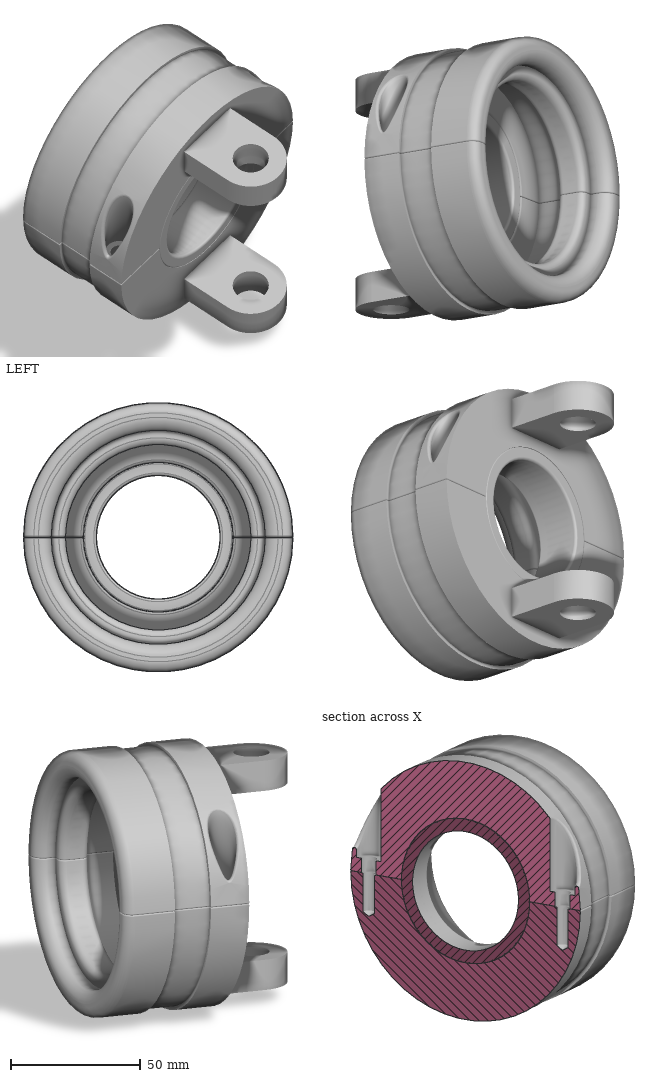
import cadquery as cq
import math

outer_radius = 52.2
housing_length = 51.5
rim_round = 4.0
mouth_radius = 41.5
mouth_round = 5.0
lip_front_x = 8.2
lip_rear_x = 20.0
lip_radius = 36.0
lip_round = 2.6
cavity_radius = 42.0
cavity_floor_x = 32.5

band_start_x = 20.5
band_end_x = 35.5
band_radius = 50.8

parting_round = 0.5

bushing_diameter = 58.0
bushing_radius = bushing_diameter / 2
bushing_bore_radius = 23.9
bushing_length = housing_length - cavity_floor_x
bushing_outer_round = 0.5
bushing_bore_round = 1.0
seat_round = 1.0

overall_length = 87.5
lug_radius = 14.0
lug_hole_diameter = 14.0
lug_thickness = 12.1
lug_outer_z = 46.0
lug_eye_x = overall_length - lug_radius

screw_x = (band_end_x + housing_length) / 2
screw_offset = 44.0
screw_centers = [(screw_x, -screw_offset), (screw_x, screw_offset)]
counterbore_diameter = 11.0
counterbore_floor_z = 6.0
counterbore_mouth_round = 1.0
clearance_diameter = 6.5
tapped_diameter = 4.9
tapped_depth = 15.7
drill_point_angle = 118.0


def housing_profile():
    """Half section of the housing: X along the axis, Y as the radius."""
    return (
        cq.Workplane("XY")
        .moveTo(0, outer_radius - rim_round)
        .radiusArc((rim_round, outer_radius), rim_round)
        .lineTo(band_start_x, outer_radius)
        .lineTo(band_start_x, band_radius)
        .lineTo(band_end_x, band_radius)
        .lineTo(band_end_x, outer_radius)
        .lineTo(housing_length, outer_radius)
        .lineTo(housing_length, bushing_radius)
        .lineTo(cavity_floor_x + seat_round, bushing_radius)
        .radiusArc((cavity_floor_x, bushing_radius + seat_round), seat_round)
        .lineTo(cavity_floor_x, cavity_radius)
        .lineTo(lip_rear_x, cavity_radius)
        .lineTo(lip_rear_x, lip_radius + lip_round)
        .radiusArc((lip_rear_x - lip_round, lip_radius), lip_round)
        .lineTo(lip_front_x + lip_round, lip_radius)
        .radiusArc((lip_front_x, lip_radius + lip_round), lip_round)
        .lineTo(lip_front_x, mouth_radius)
        .lineTo(mouth_round, mouth_radius)
        .radiusArc((0, mouth_radius + mouth_round), mouth_round)
        .close()
    )


def make_half_shell():
    """Upper half of the turned housing, with rounded parting edges."""
    shell = housing_profile().revolve(180, (0, 0, 0), (1, 0, 0))
    return shell.faces("<Z").edges().fillet(parting_round)


def make_lug():
    """Upper lug: a plate with a round end and an eye."""
    return (
        cq.Workplane("XY", origin=(0, 0, lug_outer_z - lug_thickness))
        .moveTo(housing_length, -lug_radius)
        .lineTo(lug_eye_x, -lug_radius)
        .threePointArc((overall_length, 0), (lug_eye_x, lug_radius))
        .lineTo(housing_length, lug_radius)
        .close()
        .moveTo(lug_eye_x, 0)
        .circle(lug_hole_diameter / 2)
        .extrude(lug_thickness)
    )


def make_screw_cylinders(diameter, bottom_z, top_z):
    """Vertical cylinders on both screw axes."""
    return (
        cq.Workplane("XY", origin=(0, 0, bottom_z))
        .pushPoints(screw_centers)
        .circle(diameter / 2)
        .extrude(top_z - bottom_z)
    )


def cut_counterbores(half):
    """Counterbores from the outside, rounded where they break through the curved wall."""
    half = half.cut(make_screw_cylinders(counterbore_diameter, counterbore_floor_z, outer_radius))
    screw_ring = cq.selectors.BoxSelector(
        (band_end_x, -outer_radius, counterbore_floor_z),
        (housing_length, outer_radius, outer_radius),
        boundingbox=True,
    )
    mouth_edges = half.edges(screw_ring).edges("%BSPLINE")
    return mouth_edges.fillet(counterbore_mouth_round)


def make_upper_half():
    half = cut_counterbores(make_half_shell())
    half = half.cut(make_screw_cylinders(clearance_diameter, 0, counterbore_floor_z))
    return half.union(make_lug())


def cut_tapped_holes(half):
    """Blind holes down from the parting plane, each ending in a drill point."""
    half = half.cut(make_screw_cylinders(tapped_diameter, -tapped_depth, 0))
    hole_radius = tapped_diameter / 2
    point_depth = hole_radius / math.tan(math.radians(drill_point_angle / 2))
    for x, y in screw_centers:
        point = cq.Solid.makeCone(hole_radius, 0, point_depth, (x, y, -tapped_depth), (0, 0, -1))
        half = half.cut(cq.Workplane(point))
    return half


def make_lower_half():
    half = make_half_shell().union(make_lug()).mirror("XY")
    return cut_tapped_holes(half)


def make_bushing():
    """Plain ring with rounded edges on both end faces."""
    ring = (
        cq.Workplane("YZ", origin=(cavity_floor_x, 0, 0))
        .circle(bushing_radius)
        .circle(bushing_bore_radius)
        .extrude(bushing_length)
    )
    bore_edges = ring.faces("<X or >X").edges(cq.selectors.RadiusNthSelector(0))
    ring = bore_edges.fillet(bushing_bore_round)
    outer_edges = ring.faces("<X or >X").edges(cq.selectors.RadiusNthSelector(-1))
    return outer_edges.fillet(bushing_outer_round)


upper_half = make_upper_half()
lower_half = make_lower_half()
bushing = make_bushing()

result = cq.Compound.makeCompound([upper_half.val(), lower_half.val(), bushing.val()])